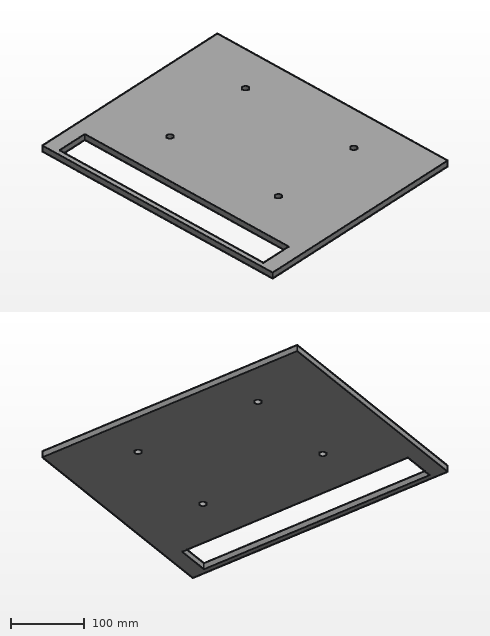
import cadquery as cq

length = 425.0
width = 348.0
thickness = 10.0

hole_diameter = 10.0
hole_spacing_x = 199.8
hole_spacing_y = 150.0
hole_back_margin = 65.5

window_length = 376.0
window_width = 50.0
window_front_margin = 8.0

hole_center_y = width / 2 - hole_back_margin - hole_spacing_y / 2
window_center_y = -width / 2 + window_front_margin + window_width / 2

plate = cq.Workplane("XY").box(length, width, thickness)

mounting_holes = (
    cq.Workplane("XY")
    .center(0, hole_center_y)
    .rect(hole_spacing_x, hole_spacing_y, forConstruction=True)
    .vertices()
    .circle(hole_diameter / 2)
    .extrude(thickness, both=True)
)

window = cq.Workplane("XY").box(window_length, window_width, 2 * thickness)
window = window.translate((0, window_center_y, 0))

result = plate.cut(mounting_holes).cut(window)